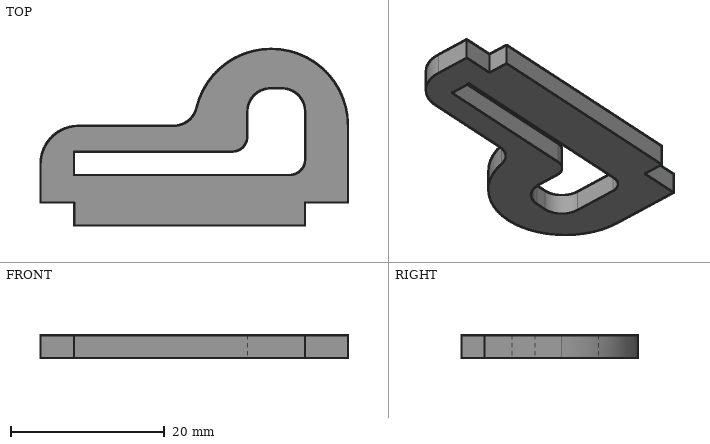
import cadquery as cq
import math

length = 40.0
thickness = 3.0
tab_height = 3.0
tab_left = 4.4
tab_length = 30.0
tab_right = tab_left + tab_length

arm_top = 13.0
arm_corner_radius = 5.0
head_radius = 10.0
head_x = length - head_radius
neck_radius = 3.0

window_bottom = 6.6
slot_height = 3.0
slot_top = window_bottom + slot_height
window_top = 17.85
upright_width = 7.5
upright_left = tab_right - upright_width
upper_corner_radius = 3.0
lower_corner_radius = 2.0

neck_x = head_x - math.sqrt((head_radius + neck_radius) ** 2 - neck_radius**2)
neck_y = arm_top + neck_radius
neck_angle = math.atan2(neck_radius, head_x - neck_x)


def point_on_circle(center_x, center_y, radius, angle):
    return (center_x + radius * math.cos(angle), center_y + radius * math.sin(angle))


def make_plate():
    head_start_angle = math.pi - neck_angle
    neck_middle_angle = -(math.pi / 2 + neck_angle) / 2
    arm_corner_middle = point_on_circle(
        arm_corner_radius, arm_top - arm_corner_radius, arm_corner_radius, math.radians(135)
    )
    return (
        cq.Workplane("XY")
        .moveTo(tab_left, 0)
        .lineTo(tab_right, 0)
        .lineTo(tab_right, tab_height)
        .lineTo(length, tab_height)
        .lineTo(length, arm_top)
        .threePointArc(
            point_on_circle(head_x, arm_top, head_radius, head_start_angle / 2),
            point_on_circle(head_x, arm_top, head_radius, head_start_angle),
        )
        .threePointArc(
            point_on_circle(neck_x, neck_y, neck_radius, neck_middle_angle),
            (neck_x, arm_top),
        )
        .lineTo(arm_corner_radius, arm_top)
        .threePointArc(arm_corner_middle, (0, arm_top - arm_corner_radius))
        .lineTo(0, tab_height)
        .lineTo(tab_left, tab_height)
        .close()
        .extrude(thickness)
    )


def make_window():
    window = (
        cq.Workplane("XY")
        .polyline(
            [
                (tab_left, window_bottom),
                (tab_right, window_bottom),
                (tab_right, window_top),
                (upright_left, window_top),
                (upright_left, slot_top),
                (tab_left, slot_top),
            ]
        )
        .close()
        .extrude(thickness)
    )
    rounded_corners = [
        (tab_right, window_bottom, lower_corner_radius),
        (upright_left, slot_top, lower_corner_radius),
        (tab_right, window_top, upper_corner_radius),
        (upright_left, window_top, upper_corner_radius),
    ]
    for x, y, radius in rounded_corners:
        corner_edge = cq.selectors.NearestToPointSelector((x, y, thickness / 2))
        window = window.edges("|Z").edges(corner_edge).fillet(radius)
    return window


result = make_plate().cut(make_window())